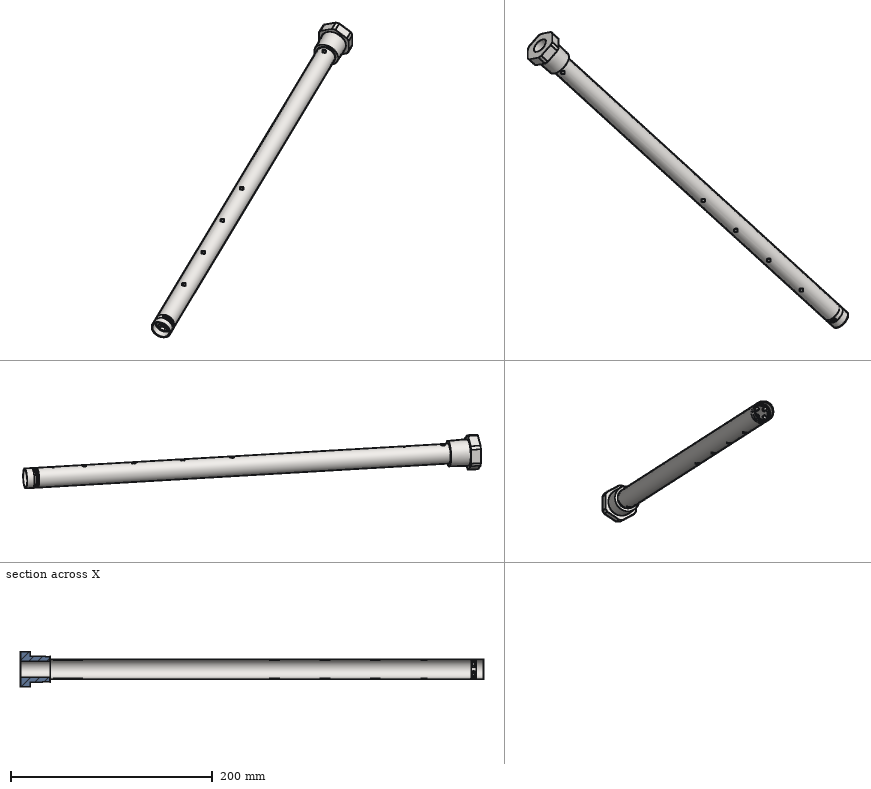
import cadquery as cq
import math

total_length = 459.1
head_end = total_length / 2
open_end = -total_length / 2

across_flats = 32.0
corner_diameter = 35.0
head_length = 10.0

collar_length = 19.5
collar_plain_length = 5.5
collar_diameter = 26.44
thread_taper = 1 / 16

tube_diameter = 20.0
tube_bore_diameter = 18.0
head_bore_diameter = 15.6

cross_hole_diameter = 4.0
first_hole_distance = 10.0
hole_pitch = 50.0
hole_count = 5
vent_hole_distance = 424.0

ring_length = 5.0
pin_diameter = 3.0
pin_tip_radius = 4.0
pin_count = 4

slot_width = 1.3


def cylinder(diameter, start, length):
    """Solid cylinder on the Y axis, from start towards +Y."""
    plane = cq.Plane(origin=(0, start, 0), xDir=(1, 0, 0), normal=(0, 1, 0))
    return cq.Workplane(plane).circle(diameter / 2).extrude(length)


def make_head():
    start = head_end - head_length
    plane = cq.Plane(origin=(0, start, 0), xDir=(0, 0, 1), normal=(0, 1, 0))
    across_corners = across_flats / math.cos(math.pi / 6)
    hexagon = cq.Workplane(plane).polygon(6, across_corners).extrude(head_length)
    return hexagon.intersect(cylinder(corner_diameter, start, head_length))


def make_collar():
    top = head_end - head_length
    taper_start = top - collar_plain_length
    tip = top - collar_length
    tip_diameter = collar_diameter - thread_taper * (taper_start - tip)
    profile = [
        (0, top),
        (collar_diameter / 2, top),
        (collar_diameter / 2, taper_start),
        (tip_diameter / 2, tip),
        (0, tip),
    ]
    return cq.Workplane("XY").polyline(profile).close().revolve(360, (0, 0, 0), (0, 1, 0))


def make_cross_holes():
    distances = [first_hole_distance + i * hole_pitch for i in range(hole_count)]
    distances.append(vent_hole_distance)
    points = [(0, open_end + distance) for distance in distances]
    holes = cq.Workplane("XY").pushPoints(points).circle(cross_hole_diameter / 2)
    return holes.extrude(tube_diameter, both=True)


def make_ring():
    """Ring bonded to the tube bore, with four diagonal round pins pointing at the axis."""
    ring_centre = open_end + first_hole_distance
    start = ring_centre - ring_length / 2
    ring_outer_diameter = (tube_diameter + tube_bore_diameter) / 2
    ring = cylinder(ring_outer_diameter, start, ring_length)
    ring = ring.cut(cylinder(head_bore_diameter, start, ring_length))
    pin_length = tube_bore_diameter / 2 - pin_tip_radius
    pin_plane = cq.Workplane("YZ", origin=(pin_tip_radius, ring_centre, 0))
    pin = pin_plane.circle(pin_diameter / 2).extrude(pin_length)
    for index in range(pin_count):
        angle = (index + 0.5) * 360 / pin_count
        ring = ring.union(pin.rotate((0, 0, 0), (0, 1, 0), angle))
    return ring


def make_wall_slot():
    """Slot through the tube wall around its +X half."""
    slot_centre = open_end + first_hole_distance
    half_block = cq.Workplane("XY").box(tube_diameter, slot_width, 2 * tube_diameter)
    half_block = half_block.translate((tube_diameter / 2, slot_centre, 0))
    return half_block.cut(cylinder(tube_bore_diameter, slot_centre - slot_width / 2, slot_width))


head_and_collar_length = head_length + collar_length
bore_step = head_end - head_and_collar_length

body = make_head().union(make_collar()).union(cylinder(tube_diameter, open_end, total_length))
body = body.cut(cylinder(tube_bore_diameter, open_end, bore_step - open_end))
body = body.cut(cylinder(head_bore_diameter, bore_step, head_and_collar_length))

body = body.cut(make_cross_holes()).union(make_ring())
result = body.cut(make_wall_slot())